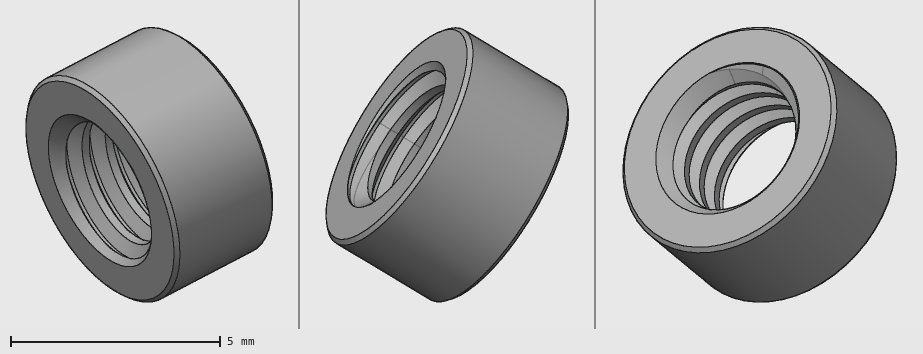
import cadquery as cq
import math

outer_diameter = 5.95
length = 3.0
rim_chamfer = 0.1
major_diameter = 3.985
countersink_diameter = 4.0
minor_diameter = 3.3
pitch = 0.7
pilot_allowance = 0.12
thread_start_angle = 62.0

outer_radius = outer_diameter / 2
major_radius = major_diameter / 2
minor_radius = minor_diameter / 2
half_length = length / 2
flank_angle = 30.0
root_width = pitch / 8


def make_body():
    """Bushing with chamfered rims and a countersink at each end of the bore."""
    countersink_radius = countersink_diameter / 2
    pilot_radius = minor_radius - pilot_allowance
    countersink_depth = countersink_radius - pilot_radius
    half_profile = cq.Workplane("YZ").polyline([
        (pilot_radius, -half_length + countersink_depth),
        (countersink_radius, -half_length),
        (outer_radius - rim_chamfer, -half_length),
        (outer_radius, -half_length + rim_chamfer),
        (outer_radius, half_length - rim_chamfer),
        (outer_radius - rim_chamfer, half_length),
        (countersink_radius, half_length),
        (pilot_radius, half_length - countersink_depth),
    ]).close()
    return half_profile.revolve(360, (0, 0, 0), (0, 1, 0))


def helix_turn(radius, start_height):
    """Edge of one right-hand thread turn."""
    center = cq.Vector(0, 0, start_height)
    return cq.Wire.makeHelix(pitch, pitch, radius, center=center).Edges()[0]


def make_core_end(height, profile):
    """Faces closing the core: a helicoid down to the axis and a flat step one pitch tall."""
    axis_start = cq.Vector(0, 0, height)
    axis_end = cq.Vector(0, 0, height + pitch)
    axis_edge = cq.Edge.makeLine(axis_start, axis_end)
    helicoid = cq.Face.makeRuledSurface(helix_turn(minor_radius, height), axis_edge)
    wall_points = [cq.Vector(radius, 0, height + offset) for radius, offset in profile]
    outline = cq.Wire.makePolygon([axis_start, *wall_points, axis_end], close=True)
    return [helicoid, cq.Face.makeFromWires(outline)]


def make_thread_core():
    """Solid threaded rod that fills the tapped bore and overruns both ends."""
    flank_rise = (major_radius - minor_radius) * math.tan(math.radians(flank_angle))
    profile = [
        (minor_radius, 0),
        (major_radius, flank_rise),
        (major_radius, flank_rise + root_width),
        (minor_radius, 2 * flank_rise + root_width),
        (minor_radius, pitch),
    ]
    turns = math.ceil(length / pitch) + 3
    top = half_length - flank_rise - root_width + 2 * pitch
    bottom = top - turns * pitch

    faces = make_core_end(bottom, profile) + make_core_end(top, profile)
    for turn in range(turns):
        base = bottom + turn * pitch
        for (radius_a, offset_a), (radius_b, offset_b) in zip(profile, profile[1:]):
            lower_edge = helix_turn(radius_a, base + offset_a)
            upper_edge = helix_turn(radius_b, base + offset_b)
            faces.append(cq.Face.makeRuledSurface(lower_edge, upper_edge))
    core = cq.Solid.makeSolid(cq.Shell.makeShell(faces))
    return cq.Workplane(obj=core).rotate((0, 0, 0), (0, 0, 1), thread_start_angle)


bushing = make_body().cut(make_thread_core())

result = bushing.rotate((0, 0, 0), (1, 0, 0), 90)